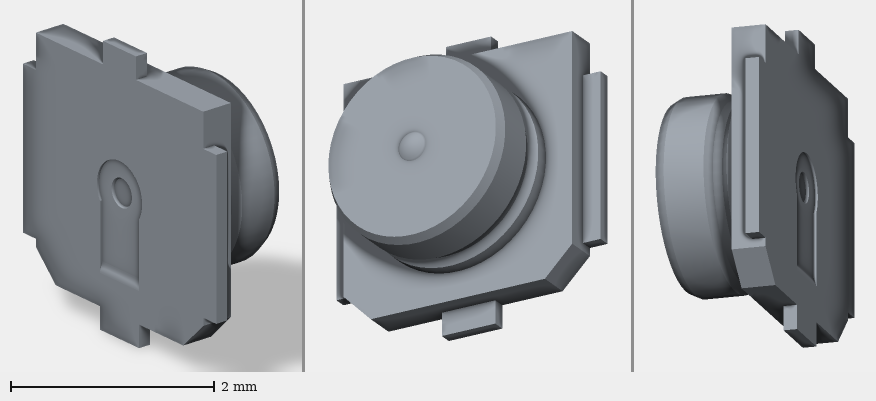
import cadquery as cq
import math


plate_size = 2.598
plate_thickness = 0.35
plate_corner_cut = 0.31

tab_thickness = 0.14
part_width = 3.0
part_height = 3.1
side_tab_height = 1.805
side_tab_flat = 0.795
side_tab_inner_x = 0.945
side_tab_shoulder_x = 1.243
top_tab_width = 0.51
top_tab_bottom_z = 0.995

strip_width = 0.608
strip_head_radius = 0.35
strip_recess = 0.028
strip_bend_top_z = -0.825
strip_bend_bottom_z = -0.942

shell_radius = 1.0
groove_radius = 0.925
shell_rim_radius = 0.952
shell_back_y = 1.252
rim_chamfer_y = 1.153
groove_upper_edge_y = 0.74
groove_top_y = 0.67
groove_bottom_y = 0.575
groove_lower_edge_y = 0.502

pin_radius = 0.155
pin_neck_radius = 0.143
pin_tip_y = 1.31
pin_end_depth = 0.028
pin_end_y = strip_recess + pin_end_depth
strip_hole_mouth_radius = 0.158


def prism(outline, y_start, y_end):
    """Extrude an XZ outline along Y between two levels."""
    return outline.extrude(-(y_end - y_start)).translate((0, y_start, 0))


def make_side_tab(side):
    """Tapered tab at one side: -1 for -X, +1 for +X."""
    half_height = side_tab_height / 2
    half_flat = side_tab_flat / 2
    outer_x = part_width / 2
    outline = cq.Workplane("XZ").polyline([
        (side * outer_x, -half_height),
        (side * side_tab_shoulder_x, -half_height),
        (side * side_tab_inner_x, -half_flat),
        (side * side_tab_inner_x, half_flat),
        (side * side_tab_shoulder_x, half_height),
        (side * outer_x, half_height),
    ]).close()
    return prism(outline, 0, tab_thickness)


def make_top_tab():
    height = part_height / 2 - top_tab_bottom_z
    middle_z = top_tab_bottom_z + height / 2
    outline = cq.Workplane("XZ").center(0, middle_z).rect(top_tab_width, height)
    return prism(outline, 0, tab_thickness)


def make_strip_blank():
    """Contact strip with an S-bend at its front, before the pin hole is made."""
    bottom_z = -part_height / 2
    middle_y = strip_recess / 2
    middle_z = (strip_bend_top_z + strip_bend_bottom_z) / 2
    side_profile = (
        cq.Workplane("YZ")
        .moveTo(tab_thickness, bottom_z)
        .lineTo(0, bottom_z)
        .lineTo(0, strip_bend_bottom_z)
        .tangentArcPoint((middle_y, middle_z), relative=False)
        .tangentArcPoint((strip_recess, strip_bend_top_z), relative=False)
        .lineTo(strip_recess, 0)
        .lineTo(tab_thickness, 0)
        .close()
    )
    arm = side_profile.extrude(strip_width / 2, both=True)
    head = prism(cq.Workplane("XZ").circle(strip_head_radius), strip_recess, tab_thickness)
    return arm.union(head)


def make_strip_pocket():
    """Opening in the plate that holds the strip and leaves its front face exposed."""
    head = prism(cq.Workplane("XZ").circle(strip_head_radius), 0, tab_thickness)
    arm_length = part_height / 2
    arm_outline = cq.Workplane("XZ").center(0, -arm_length / 2).rect(strip_width, arm_length)
    return head.union(prism(arm_outline, 0, tab_thickness))


def make_strip_hole():
    """Hole for the pin neck, with a mouth that flares toward the exposed strip face."""
    half_section = cq.Workplane("XY").polyline([
        (0, strip_recess),
        (strip_hole_mouth_radius, strip_recess),
        (pin_neck_radius, pin_end_y),
        (pin_neck_radius, tab_thickness),
        (0, tab_thickness),
    ]).close()
    return half_section.revolve(360, (0, 0), (0, 1))


def make_pin():
    """Round pin with a flat end on a narrower neck and a domed tip."""
    dome_height = pin_tip_y - shell_back_y
    dome_radius = (pin_radius**2 + dome_height**2) / (2 * dome_height)
    dome_center_y = pin_tip_y - dome_radius
    middle_x = pin_radius / 2
    middle_y = dome_center_y + math.sqrt(dome_radius**2 - middle_x**2)
    half_section = (
        cq.Workplane("XY")
        .moveTo(0, pin_end_y)
        .lineTo(pin_neck_radius, pin_end_y)
        .lineTo(pin_neck_radius, tab_thickness)
        .lineTo(pin_radius, tab_thickness)
        .lineTo(pin_radius, shell_back_y)
        .threePointArc((middle_x, middle_y), (0, pin_tip_y))
        .close()
    )
    return half_section.revolve(360, (0, 0), (0, 1))


def make_shell():
    """Round connector shell with a snap groove and a bore for the pin."""
    half_section = cq.Workplane("XY").polyline([
        (pin_radius, plate_thickness),
        (shell_radius, plate_thickness),
        (shell_radius, groove_lower_edge_y),
        (groove_radius, groove_bottom_y),
        (groove_radius, groove_top_y),
        (shell_radius, groove_upper_edge_y),
        (shell_radius, rim_chamfer_y),
        (shell_rim_radius, shell_back_y),
        (pin_radius, shell_back_y),
    ]).close()
    return half_section.revolve(360, (0, 0), (0, 1))


def make_plate(inserts):
    """Square plate with two cut lower corners, a pin bore and recesses for the inserts."""
    outline = cq.Workplane("XZ").rect(plate_size, plate_size)
    plate = prism(outline, 0, plate_thickness)
    plate = plate.edges("|Y and <Z").chamfer(plate_corner_cut)
    plate = plate.cut(prism(cq.Workplane("XZ").circle(pin_radius), 0, plate_thickness))
    for insert in inserts:
        plate = plate.cut(insert)
    return plate


side_tabs = [make_side_tab(side) for side in (-1, 1)]
top_tab = make_top_tab()
pin = make_pin()
strip = make_strip_blank().cut(make_strip_hole())
shell = make_shell()
plate = make_plate([*side_tabs, top_tab, make_strip_pocket()])

result = cq.Compound.makeCompound([
    plate.val(),
    *[tab.val() for tab in side_tabs],
    top_tab.val(),
    strip.val(),
    pin.val(),
    shell.val(),
])